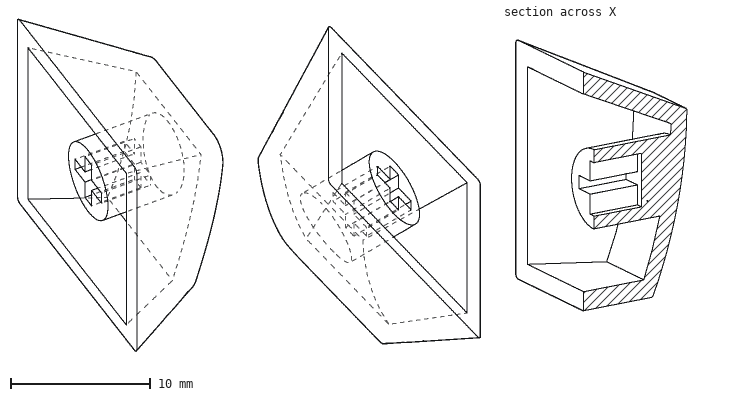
import cadquery as cq
import math

BASE_HALF_X = 9.05
BASE_HALF_Z = 9.0
BASE_RADIUS = 0.36
CROWN_HALF_X = 6.01
CROWN_RADIUS = 1.72
CROWN_TOP_Y = 8.8
CROWN_TOP_Z = 4.7
CROWN_BOTTOM_Y = 5.88
CROWN_BULGE = 0.7
CROWN_EDGE_FILLET = 0.18

MOUTH_HALF_X = 7.45
MOUTH_TOP_Z = 7.33
MOUTH_BOTTOM_Z = -7.53
FLOOR_HALF_X = 4.92
FLOOR_TOP_Y = 7.42
FLOOR_TOP_Z = 3.8
FLOOR_BOTTOM_Y = 5.1
FLOOR_BULGE = 0.43

STEM_DIAMETER = 6.0
STEM_FACE_Y = 0.9
SOCKET_LENGTH = 4.0
SOCKET_WIDTH = 1.0
SOCKET_DEPTH = 4.0

OVERRUN = 1.2


def beyond(start, end):
    """Carry a taper on from start past end."""
    return start + OVERRUN * (end - start)


def section(half_x, top, bottom, radius):
    """Rectangular wire, optionally rounded, between two (Y, Z) edges running along X."""
    rise_y = top[0] - bottom[0]
    rise_z = top[1] - bottom[1]
    center = (0, (top[0] + bottom[0]) / 2, (top[1] + bottom[1]) / 2)
    plane = cq.Plane(origin=center, xDir=(1, 0, 0), normal=(0, rise_z, -rise_y))
    wire = cq.Workplane(plane).rect(2 * half_x, math.hypot(rise_y, rise_z)).val()
    if radius > 0:
        wire = wire.fillet2D(radius, wire.Vertices())
    return wire


def domed_taper(base_half_x, base_top_z, base_bottom_z, base_radius,
                end_half_x, end_top, end_bottom, end_radius, bulge):
    """Taper from a flat base at Y = 0 to a tilted end that bulges outwards as an arc."""
    far_top = (beyond(0, end_top[0]), beyond(base_top_z, end_top[1]))
    far_bottom = (beyond(0, end_bottom[0]), beyond(base_bottom_z, end_bottom[1]))
    base = section(base_half_x, (0, base_top_z), (0, base_bottom_z), base_radius)
    far = section(beyond(base_half_x, end_half_x), far_top, far_bottom,
                  beyond(base_radius, end_radius))
    taper = cq.Workplane(cq.Solid.makeLoft([base, far], True))

    rise_y = end_top[0] - end_bottom[0]
    rise_z = end_top[1] - end_bottom[1]
    chord = math.hypot(rise_y, rise_z)
    arc_middle = (
        (end_top[0] + end_bottom[0]) / 2 + bulge * rise_z / chord,
        (end_top[1] + end_bottom[1]) / 2 - bulge * rise_y / chord,
    )
    side_profile = (
        cq.Workplane("YZ")
        .moveTo(0, base_bottom_z)
        .lineTo(*end_bottom)
        .threePointArc(arc_middle, end_top)
        .lineTo(0, base_top_z)
        .close()
        .extrude(base_half_x, both=True)
    )
    return taper.intersect(side_profile)


def cavity():
    return domed_taper(
        MOUTH_HALF_X, MOUTH_TOP_Z, MOUTH_BOTTOM_Z, 0,
        FLOOR_HALF_X, (FLOOR_TOP_Y, FLOOR_TOP_Z), (FLOOR_BOTTOM_Y, MOUTH_BOTTOM_Z), 0,
        FLOOR_BULGE,
    )


def outer_body():
    body = domed_taper(
        BASE_HALF_X, BASE_HALF_Z, -BASE_HALF_Z, BASE_RADIUS,
        CROWN_HALF_X, (CROWN_TOP_Y, CROWN_TOP_Z), (CROWN_BOTTOM_Y, -BASE_HALF_Z), CROWN_RADIUS,
        CROWN_BULGE,
    )
    return body.faces(">Y").edges().fillet(CROWN_EDGE_FILLET)


def stem():
    """Round post reaching from its recessed face into the cavity floor."""
    face = cq.Workplane("XZ", origin=(0, STEM_FACE_Y, 0))
    post = face.circle(STEM_DIAMETER / 2).extrude(STEM_FACE_Y - FLOOR_TOP_Y)
    for size in ((SOCKET_LENGTH, SOCKET_WIDTH), (SOCKET_WIDTH, SOCKET_LENGTH)):
        post = post.cut(face.rect(*size).extrude(-SOCKET_DEPTH))
    return post


result = outer_body().cut(cavity()).union(stem())